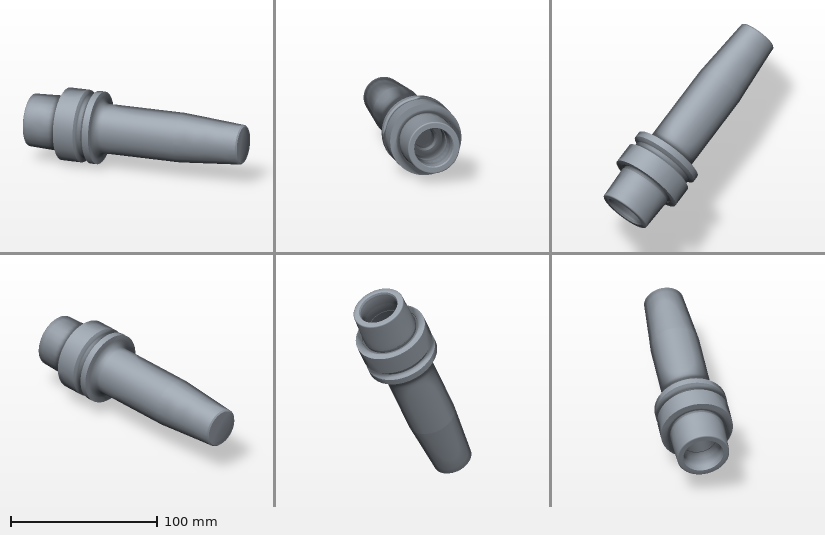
import cadquery as cq
import math

length = 154.9
flange_start = 25.0
groove_start = 39.3
groove_wall_foot = 41.0
groove_floor_start = 41.7
groove_floor_end = 44.0
groove_end = 46.2
flange_end = 50.7
nose_taper_start = 110.1

flange_radius = 50.0 / 2
groove_radius = 21.7
body_radius = 17.0
tip_radius = 13.6
shank_nose_radius = 18.1
shank_root_radius = 19.0

shank_nose_fillet = 1.0
tip_chamfer = 1.0
body_fillet = 4.2
neck_start = 23.1
neck_depth = 0.5
face_recess_radius = 20.5
face_recess_depth = 0.6

mouth_radius = 14.0
bore_radius = 13.3
ledge_radius = 12.2
taper_end_radius = 12.7
mouth_chamfer_length = 1.4
taper_start = 10.2
taper_end = 16.7
ledge_end = 27.9
pilot_radius = 8.4
pilot_floor_radius = 7.0
pilot_depth = 37.2
pilot_chamfer = pilot_radius - pilot_floor_radius


def revolve_about_x(profile):
    """Turn a closed (axial, radial) profile about the X axis."""
    return profile.close().revolve(360, (0, 0, 0), (1, 0, 0))


def make_body():
    neck_radius = shank_root_radius - neck_depth
    fillet_mid = body_fillet * (1 - math.sqrt(0.5))
    wall_angle = math.atan2(flange_radius - groove_radius, groove_wall_foot - groove_start)
    fillet_reach = groove_floor_start - groove_wall_foot
    groove_fillet_start = (
        groove_wall_foot - fillet_reach * math.cos(wall_angle),
        groove_radius + fillet_reach * math.sin(wall_angle),
    )
    profile = (
        cq.Workplane("XY")
        .lineTo(0, shank_nose_radius - shank_nose_fillet)
        .radiusArc((shank_nose_fillet, shank_nose_radius), shank_nose_fillet)
        .lineTo(neck_start, shank_root_radius)
        .lineTo(neck_start + neck_depth, neck_radius)
        .lineTo(flange_start + face_recess_depth, neck_radius)
        .lineTo(flange_start + face_recess_depth, face_recess_radius)
        .lineTo(flange_start, face_recess_radius)
        .lineTo(flange_start, flange_radius)
        .lineTo(groove_start, flange_radius)
        .lineTo(*groove_fillet_start)
        .tangentArcPoint((groove_floor_start, groove_radius), relative=False)
        .lineTo(groove_floor_end, groove_radius)
        .lineTo(groove_end, flange_radius)
        .lineTo(flange_end, flange_radius)
        .lineTo(flange_end, body_radius + body_fillet)
        .threePointArc(
            (flange_end + fillet_mid, body_radius + fillet_mid),
            (flange_end + body_fillet, body_radius),
        )
        .lineTo(nose_taper_start, body_radius)
        .lineTo(length - tip_chamfer, tip_radius)
        .lineTo(length, tip_radius - tip_chamfer)
        .lineTo(length, 0)
    )
    return revolve_about_x(profile)


def make_bore():
    profile = (
        cq.Workplane("XY")
        .lineTo(0, mouth_radius)
        .lineTo(mouth_chamfer_length, bore_radius)
        .lineTo(taper_start, bore_radius)
        .lineTo(taper_end, taper_end_radius)
        .lineTo(taper_end, ledge_radius)
        .lineTo(ledge_end, ledge_radius)
        .lineTo(ledge_end, pilot_radius)
        .lineTo(ledge_end + pilot_chamfer, pilot_floor_radius)
        .lineTo(pilot_depth, pilot_floor_radius)
        .lineTo(pilot_depth, 0)
    )
    return revolve_about_x(profile)


result = make_body().cut(make_bore()).translate((-length / 2, 0, 0))